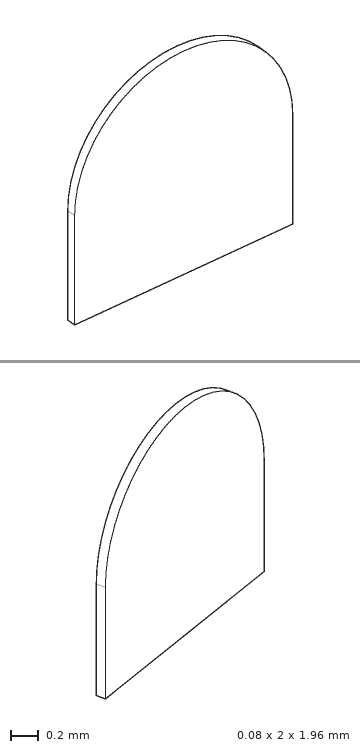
import cadquery as cq

width = 2.0
height = 1.96
thickness = 0.08

top_radius = width / 2
side_height = height - top_radius

result = (
    cq.Workplane("YZ")
    .moveTo(-width / 2, 0)
    .lineTo(width / 2, 0)
    .lineTo(width / 2, side_height)
    .threePointArc((0, height), (-width / 2, side_height))
    .close()
    .extrude(thickness / 2, both=True)
)